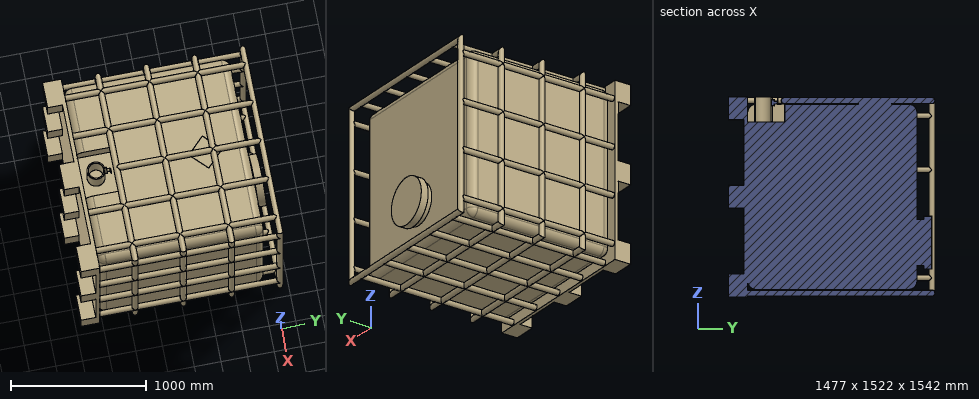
import cadquery as cq
import math


overall_depth_z = 1542.0

pallet_side = 1477.0
foot_height = 111.0
deck_thickness = 31.0
deck_top = foot_height + deck_thickness
foot_width_x = 197.0
foot_width_z = 171.0

cage_top = 1522.0
tube_diameter = 46.0
cage_side = 1465.0
tube_radius = tube_diameter / 2
cage_axis = cage_side / 2 - tube_radius
hoop_count = 4
hoop_spacing = 362.0
hoop_heights = [cage_top - tube_radius - i * hoop_spacing for i in range(hoop_count)]
side_bar_spacing = 398.0
side_bar_places = [side_bar_spacing * i for i in (-1.5, -0.5, 0.5, 1.5)]
face_bar_spacing = 298.0
face_bar_places = [face_bar_spacing * i for i in (-2, -1, 0, 1, 2)]

tank_side = 1366.0
tank_top = 1390.0
tank_fillet = 60.0
tank_face = tank_side / 2

lid_z = -338.0
neck_diameter = 342.0
neck_height = 48.0
lid_diameter = 390.0
lid_thickness = 62.0

label_diagonal = 250.0
label_thickness = 5.0
label_y = 1080.0

recess_width = 342.0
recess_top = 413.0
recess_depth = 131.0
recess_floor = tank_face - recess_depth

pipe_y = 258.0
pipe_diameter = 133.0
pipe_wall = 10.0
pipe_end = 737.0
stem_z = 694.0
collar_diameter = 46.0
collar_top = 338.0
stem_diameter = 22.0
handle_y = 361.0
handle_thickness = 3.0
handle_width = 28.0
handle_tilt = 23
handle_tip_z = overall_depth_z - pallet_side / 2
tilt_angle = math.radians(handle_tilt)
handle_rise = handle_tip_z - stem_z
handle_length = (handle_rise - handle_width / 2 * math.sin(tilt_angle)) / math.cos(tilt_angle)


def block(size_x, size_z, bottom, top, x=0, z=0):
    """Box centred on (x, z) that spans bottom..top along Y."""
    return cq.Workplane("XY").box(size_x, top - bottom, size_z).translate((x, (bottom + top) / 2, z))


def post(diameter, bottom, top, x=0, z=0):
    """Cylinder along Y that spans bottom..top, with its axis at (x, z)."""
    radius = diameter / 2
    base = cq.Vector(x, bottom, z)
    return cq.Workplane(cq.Solid.makeCylinder(radius, top - bottom, base, cq.Vector(0, 1, 0)))


def make_pallet():
    """Square deck on a three by three grid of feet."""
    pallet = block(pallet_side, pallet_side, foot_height, deck_top)
    foot_x = (pallet_side - foot_width_x) / 2
    foot_z = (pallet_side - foot_width_z) / 2
    for x in (-foot_x, 0, foot_x):
        for z in (-foot_z, 0, foot_z):
            pallet = pallet.union(block(foot_width_x, foot_width_z, 0, foot_height, x, z))
    return pallet


def make_hoop(y):
    """Square ring of round tube with mitred corners."""
    path = cq.Workplane("XZ", origin=(0, y, 0)).rect(2 * cage_axis, 2 * cage_axis)
    section = cq.Workplane("YZ", origin=(0, y, -cage_axis)).circle(tube_radius)
    return section.sweep(path, transition="right")


def make_cage():
    """Four hoops joined by bars along Y that stand in the pallet deck."""
    hoop_top = hoop_heights[0]
    hoop_bottom = hoop_heights[-1]
    cage = make_hoop(hoop_top)
    for y in hoop_heights[1:]:
        cage = cage.union(make_hoop(y))
    for z in side_bar_places:
        for x in (-cage_axis, cage_axis):
            cage = cage.union(post(tube_diameter, foot_height, hoop_top, x, z))
    for x in face_bar_places:
        for z in (-cage_axis, cage_axis):
            above_valve = x == 0 and z > 0
            bar_bottom = hoop_bottom if above_valve else foot_height
            cage = cage.union(post(tube_diameter, bar_bottom, hoop_top, x, z))
    return cage


def make_tank():
    """Rounded tank with a valve recess, a raised label plate, a neck and a lid."""
    tank = block(tank_side, tank_side, deck_top, tank_top).edges().fillet(tank_fillet)
    recess = block(recess_width, 2 * recess_depth, deck_top, recess_top, 0, tank_face)
    label = (
        cq.Workplane("XY", origin=(0, label_y, tank_face))
        .polygon(4, label_diagonal)
        .extrude(label_thickness)
    )
    neck_top = tank_top + neck_height
    neck = post(neck_diameter, tank_top, neck_top, 0, lid_z)
    lid = post(lid_diameter, neck_top, neck_top + lid_thickness, 0, lid_z)
    return tank.cut(recess).union(label).union(neck).union(lid)


def valve_cylinder(diameter):
    """Cylinder along Z from the recess floor to the pipe end."""
    floor = cq.Workplane("XY", origin=(0, pipe_y, recess_floor))
    return floor.circle(diameter / 2).extrude(pipe_end - recess_floor)


def make_valve():
    """Open outlet pipe with a collar, a stem and a tilted flat handle."""
    pipe = valve_cylinder(pipe_diameter)
    bore = valve_cylinder(pipe_diameter - 2 * pipe_wall)
    collar = post(collar_diameter, pipe_y, collar_top, 0, stem_z)
    stem = post(stem_diameter, pipe_y, handle_y, 0, stem_z)
    handle = (
        block(handle_width, handle_length, handle_y, handle_y + handle_thickness, 0, handle_length / 2)
        .rotate((0, 0, 0), (0, 1, 0), handle_tilt)
        .translate((0, 0, stem_z))
    )
    return pipe.union(collar).union(stem).cut(bore).union(handle)


result = make_pallet().union(make_tank()).union(make_cage()).union(make_valve())